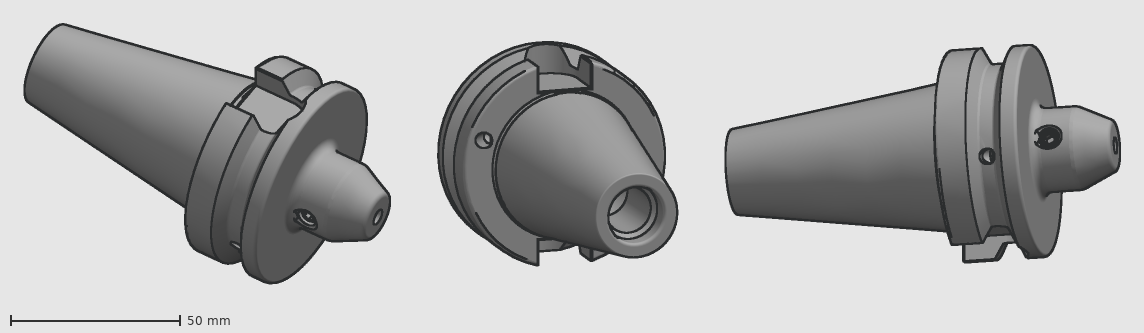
import cadquery as cq
import math

TOTAL_LENGTH = 115.4

GAUGE_X = 65.4
GAUGE_RADIUS = 22.3
SMALL_END_RADIUS = GAUGE_RADIUS - GAUGE_X * 7 / 48
SMALL_END_ROUND = 0.5
NECK_RADIUS = 21.8
NECK_ROUND = 0.8

FLANGE_REAR_X = 67.4
FLANGE_FRONT_X = 92.4
FLANGE_RADIUS = 31.5
FLANGE_ROUND = 1.0
GROOVE_X = 82.0
GROOVE_RADIUS = 26.5
GROOVE_FLOOR_WIDTH = 4.6
GROOVE_WALL_ANGLE = 30.0
GROOVE_ROUND = 0.8
GROOVE_FLOOR_HALF = GROOVE_FLOOR_WIDTH / 2
GROOVE_TOP_HALF = GROOVE_FLOOR_HALF + (FLANGE_RADIUS - GROOVE_RADIUS) * math.tan(math.radians(GROOVE_WALL_ANGLE))

KEYWAY_WIDTH = 16.2
KEYWAY_END_X = 88.9
KEYWAY_FLOOR = 22.6
KEYWAY_CHAMFER = 0.5

NOSE_RADIUS = 12.5
NOSE_ROOT_ROUND = 3.0
NOSE_CONE_X = 104.7
NOSE_CONE_ANGLE = 25.0
NOSE_CONE_ROUND = 2.5
NOSE_TIP_RADIUS = NOSE_RADIUS - (TOTAL_LENGTH - NOSE_CONE_X) * math.tan(math.radians(NOSE_CONE_ANGLE))
NOSE_TIP_ROUND = 1.7

COUNTERBORE_RADIUS = 8.5
COUNTERBORE_DEPTH = 6.5
COUNTERBORE_ROUND = 1.0
THREAD_BORE_RADIUS = 7.0
THREAD_BORE_DEPTH = 30.0
DRILL_HALF_ANGLE = 59.0
THROUGH_RADIUS = 2.4

COOLANT_RADIUS = 2.3
COOLANT_MOUTH_RADIUS = 26.9
COOLANT_SLOPE = 30.0
COOLANT_START_ANGLES = (20.0, 200.0)

SCREW_X = 97.7
SCREW_RADIUS = 3.0
SCREW_LENGTH = 8.0
SCREW_CHAMFER = 0.8
HEX_ACROSS_FLATS = 3.0
HEX_DEPTH = 3.0
SCREW_COUNTERSINK_RADIUS = 4.2
SCREW_TIP_Y = -THROUGH_RADIUS
SCREW_HEAD_Y = SCREW_TIP_Y - SCREW_LENGTH

TOLERANCE = 0.01
SIDE_CLEARANCE = 5.8


def revolve_about_x(points):
    """Solid of revolution from (x, radius) points."""
    return cq.Workplane("XZ").polyline(points).close().revolve(360, (0, 0, 0), (1, 0, 0))


def round_rings(solid, x_positions, radius, size):
    """Round the circular edges that have this radius at the given X positions."""
    def is_ring(edge):
        at_x = any(abs(edge.Center().x - x) < TOLERANCE for x in x_positions)
        return at_x and edge.geomType() == "CIRCLE" and abs(edge.radius() - radius) < TOLERANCE

    rings = [edge for edge in solid.edges().vals() if is_ring(edge)]
    return solid.newObject(rings).fillet(size)


def make_outer_shape():
    body = revolve_about_x([
        (0, 0),
        (0, SMALL_END_RADIUS),
        (GAUGE_X, GAUGE_RADIUS),
        (GAUGE_X, NECK_RADIUS),
        (FLANGE_REAR_X, NECK_RADIUS),
        (FLANGE_REAR_X, FLANGE_RADIUS),
        (GROOVE_X - GROOVE_TOP_HALF, FLANGE_RADIUS),
        (GROOVE_X - GROOVE_FLOOR_HALF, GROOVE_RADIUS),
        (GROOVE_X + GROOVE_FLOOR_HALF, GROOVE_RADIUS),
        (GROOVE_X + GROOVE_TOP_HALF, FLANGE_RADIUS),
        (FLANGE_FRONT_X, FLANGE_RADIUS),
        (FLANGE_FRONT_X, NOSE_RADIUS),
        (NOSE_CONE_X, NOSE_RADIUS),
        (TOTAL_LENGTH, NOSE_TIP_RADIUS),
        (TOTAL_LENGTH, 0),
    ])
    body = round_rings(body, [0], SMALL_END_RADIUS, SMALL_END_ROUND)
    body = round_rings(body, [FLANGE_REAR_X], NECK_RADIUS, NECK_ROUND)
    body = round_rings(body, [FLANGE_REAR_X, FLANGE_FRONT_X], FLANGE_RADIUS, FLANGE_ROUND)
    groove_corners = [GROOVE_X - GROOVE_FLOOR_HALF, GROOVE_X + GROOVE_FLOOR_HALF]
    body = round_rings(body, groove_corners, GROOVE_RADIUS, GROOVE_ROUND)
    body = round_rings(body, [FLANGE_FRONT_X], NOSE_RADIUS, NOSE_ROOT_ROUND)
    body = round_rings(body, [NOSE_CONE_X], NOSE_RADIUS, NOSE_CONE_ROUND)
    return round_rings(body, [TOTAL_LENGTH], NOSE_TIP_RADIUS, NOSE_TIP_ROUND)


def make_axial_bore():
    """Counterbore with a rounded mouth, thread bore with a drill-point end, and a through hole."""
    drill_point_length = (THREAD_BORE_RADIUS - THROUGH_RADIUS) / math.tan(math.radians(DRILL_HALF_ANGLE))
    mouth_radius = COUNTERBORE_RADIUS + COUNTERBORE_ROUND
    outline = (
        cq.Workplane("XZ")
        .moveTo(0, 0)
        .lineTo(0, mouth_radius)
        .radiusArc((COUNTERBORE_ROUND, COUNTERBORE_RADIUS), -COUNTERBORE_ROUND)
        .lineTo(COUNTERBORE_DEPTH, COUNTERBORE_RADIUS)
        .lineTo(COUNTERBORE_DEPTH + COUNTERBORE_RADIUS - THREAD_BORE_RADIUS, THREAD_BORE_RADIUS)
        .lineTo(THREAD_BORE_DEPTH, THREAD_BORE_RADIUS)
        .lineTo(THREAD_BORE_DEPTH + drill_point_length, THROUGH_RADIUS)
        .lineTo(TOTAL_LENGTH, THROUGH_RADIUS)
        .lineTo(TOTAL_LENGTH, 0)
        .close()
    )
    return outline.revolve(360, (0, 0, 0), (1, 0, 0))


def make_keyway():
    """Round-ended slot through the flange on the +Z side, with its rear edges chamfered."""
    half_width = KEYWAY_WIDTH / 2
    arc_center_x = KEYWAY_END_X - half_width
    top_z = FLANGE_RADIUS + SIDE_CLEARANCE
    slot = (
        cq.Workplane("XY", origin=(0, 0, KEYWAY_FLOOR))
        .moveTo(GAUGE_X, -half_width)
        .lineTo(arc_center_x, -half_width)
        .threePointArc((KEYWAY_END_X, 0), (arc_center_x, half_width))
        .lineTo(GAUGE_X, half_width)
        .close()
        .extrude(top_z - KEYWAY_FLOOR)
    )

    mouth_start_x = FLANGE_REAR_X - NECK_ROUND
    mouth_floor = KEYWAY_FLOOR - KEYWAY_CHAMFER
    mouth = (
        cq.Workplane("YZ", origin=(mouth_start_x, 0, (mouth_floor + top_z) / 2))
        .rect(KEYWAY_WIDTH + 2 * KEYWAY_CHAMFER, top_z - mouth_floor)
        .extrude(NECK_ROUND)
        .faces(">X")
        .wires()
        .toPending()
        .workplane()
        .extrude(KEYWAY_CHAMFER, taper=45)
    )

    rim_edge_z = math.sqrt(FLANGE_RADIUS**2 - half_width**2)
    rim_chamfer_start_z = rim_edge_z - KEYWAY_CHAMFER
    flare = top_z - rim_chamfer_start_z
    rim_edges = (
        cq.Workplane("YZ", origin=(FLANGE_REAR_X, 0, 0))
        .moveTo(-half_width, rim_chamfer_start_z)
        .lineTo(half_width, rim_chamfer_start_z)
        .lineTo(half_width + flare, top_z)
        .lineTo(-half_width - flare, top_z)
        .close()
        .extrude(GROOVE_X - FLANGE_REAR_X)
    )
    return slot.union(mouth).union(rim_edges)


def make_coolant_channels(angle):
    """Sloped channel from the flange rear face meeting a radial one from the groove."""
    slope = math.radians(COOLANT_SLOPE)
    meeting_radius = COOLANT_MOUTH_RADIUS - (GROOVE_X - FLANGE_REAR_X) * math.tan(slope)
    direction = cq.Vector(math.cos(slope), -math.sin(slope), 0)
    mouth = cq.Vector(FLANGE_REAR_X, COOLANT_MOUTH_RADIUS, 0)
    start = mouth - direction * SIDE_CLEARANCE
    sloped_length = (GROOVE_X - FLANGE_REAR_X) / math.cos(slope) + SIDE_CLEARANCE
    sloped = cq.Solid.makeCylinder(COOLANT_RADIUS, sloped_length, start, direction)
    radial = cq.Solid.makeCylinder(
        COOLANT_RADIUS,
        FLANGE_RADIUS - meeting_radius,
        cq.Vector(GROOVE_X, meeting_radius, 0),
        cq.Vector(0, 1, 0),
    )
    channels = cq.Workplane(sloped).union(cq.Workplane(radial))
    return channels.rotate((0, 0, 0), (1, 0, 0), angle)


def make_screw_hole():
    """Set screw hole from the outside to the axial bore, with a countersunk mouth."""
    toward_minus_y = cq.Vector(0, -1, 0)
    hole = cq.Solid.makeCylinder(SCREW_RADIUS, NOSE_RADIUS, cq.Vector(SCREW_X, 0, 0), toward_minus_y)
    countersink_depth = SCREW_COUNTERSINK_RADIUS - SCREW_RADIUS
    countersink = cq.Solid.makeCone(
        SCREW_RADIUS,
        SCREW_COUNTERSINK_RADIUS,
        countersink_depth,
        cq.Vector(SCREW_X, -(NOSE_RADIUS - countersink_depth), 0),
        toward_minus_y,
    )
    return cq.Workplane(hole).union(cq.Workplane(countersink))


def make_housing():
    body = make_outer_shape().cut(make_axial_bore())
    keyway = make_keyway()
    body = body.cut(keyway).cut(keyway.mirror("XY"))
    for angle in COOLANT_START_ANGLES:
        body = body.cut(make_coolant_channels(angle))
    return body.cut(make_screw_hole())


def make_set_screw():
    """Headless screw with a hexagon socket, flat tip flush with the axial bore."""
    head_plane = cq.Plane(origin=(SCREW_X, SCREW_HEAD_Y, 0), xDir=(0, 0, 1), normal=(0, -1, 0))
    hex_corner_diameter = HEX_ACROSS_FLATS / math.cos(math.radians(30))
    socket = cq.Workplane(head_plane).polygon(6, hex_corner_diameter).extrude(-HEX_DEPTH)
    shank = cq.Workplane(head_plane).circle(SCREW_RADIUS).extrude(-SCREW_LENGTH)
    return shank.faces("<Y").chamfer(SCREW_CHAMFER).cut(socket)


housing = make_housing()
set_screw = make_set_screw()

result = cq.Compound.makeCompound([housing.val(), set_screw.val()])